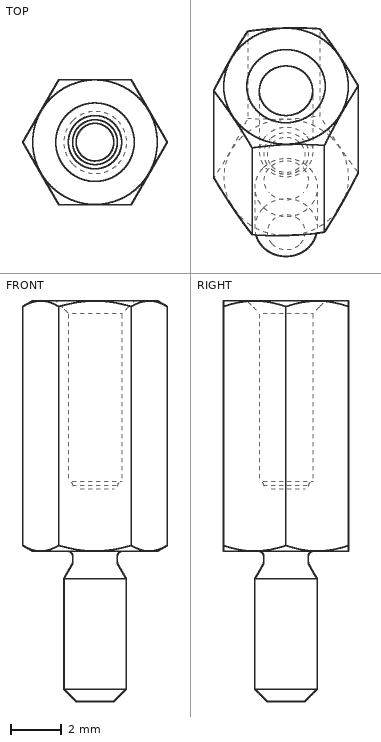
import cadquery as cq
import math

arc_middle_angle = math.radians(45)

across_corners = 5.78
body_length = 10.0
face_diameter = 4.98
hex_chamfer_angle = math.radians(30)

stud_length = 6.0
stud_diameter = 2.5
tip_chamfer = 0.5
neck_diameter = 1.8
neck_end_depth = 0.43
neck_fillet = 0.2
neck_cone_angle = math.radians(30)

hole_diameter = 2.13
hole_depth = 7.2
countersink_diameter = 3.14
countersink_angle = math.radians(45)
throat_diameter = 1.8
floor_diameter = 1.5


def chamfered_hexagon():
    """Hexagonal prism with its corners coned off at both ends."""
    prism = cq.Workplane("XY").polygon(6, across_corners).extrude(body_length)
    face_radius = face_diameter / 2
    corner_radius = across_corners / 2
    corner_drop = (corner_radius - face_radius) * math.tan(hex_chamfer_angle)
    envelope = (
        cq.Workplane("XZ")
        .moveTo(0, 0)
        .lineTo(face_radius, 0)
        .lineTo(corner_radius, corner_drop)
        .lineTo(corner_radius, body_length - corner_drop)
        .lineTo(face_radius, body_length)
        .lineTo(0, body_length)
        .close()
        .revolve(360, (0, 0, 0), (0, 1, 0))
    )
    return prism.intersect(envelope)


def stud():
    """Turned stud with a filleted neck, a conical shoulder and a chamfered tip."""
    radius = stud_diameter / 2
    neck_radius = neck_diameter / 2
    arc_center_radius = neck_radius + neck_fillet

    def arc_point(angle):
        return (
            arc_center_radius - neck_fillet * math.cos(angle),
            -neck_end_depth - neck_fillet * math.sin(angle),
        )

    cone_start = arc_point(neck_cone_angle)
    cone_drop = (radius - cone_start[0]) / math.tan(neck_cone_angle)
    upper_arc_middle = (
        arc_center_radius - neck_fillet * math.cos(arc_middle_angle),
        -neck_fillet + neck_fillet * math.sin(arc_middle_angle),
    )
    return (
        cq.Workplane("XZ")
        .moveTo(0, 0)
        .lineTo(arc_center_radius, 0)
        .threePointArc(upper_arc_middle, (neck_radius, -neck_fillet))
        .lineTo(neck_radius, -neck_end_depth)
        .threePointArc(arc_point(neck_cone_angle / 2), cone_start)
        .lineTo(radius, cone_start[1] - cone_drop)
        .lineTo(radius, tip_chamfer - stud_length)
        .lineTo(radius - tip_chamfer, -stud_length)
        .lineTo(0, -stud_length)
        .close()
        .revolve(360, (0, 0, 0), (0, 1, 0))
    )


def hole():
    """Countersunk blind hole with a rounded lip leading to a conical floor recess."""
    radius = hole_diameter / 2
    throat_radius = throat_diameter / 2
    floor_radius = floor_diameter / 2
    countersink_radius = countersink_diameter / 2
    countersink_depth = (countersink_radius - radius) / math.tan(countersink_angle)
    lip_radius = radius - throat_radius
    lip_z = body_length - hole_depth
    throat_z = lip_z - lip_radius
    floor_z = throat_z - (throat_radius - floor_radius)
    lip_middle = (
        radius - lip_radius * math.cos(arc_middle_angle),
        throat_z + lip_radius * math.sin(arc_middle_angle),
    )
    return (
        cq.Workplane("XZ")
        .moveTo(0, body_length)
        .lineTo(countersink_radius, body_length)
        .lineTo(radius, body_length - countersink_depth)
        .lineTo(radius, lip_z)
        .threePointArc(lip_middle, (throat_radius, throat_z))
        .lineTo(floor_radius, floor_z)
        .lineTo(0, floor_z)
        .close()
        .revolve(360, (0, 0, 0), (0, 1, 0))
    )


result = chamfered_hexagon().union(stud()).cut(hole())